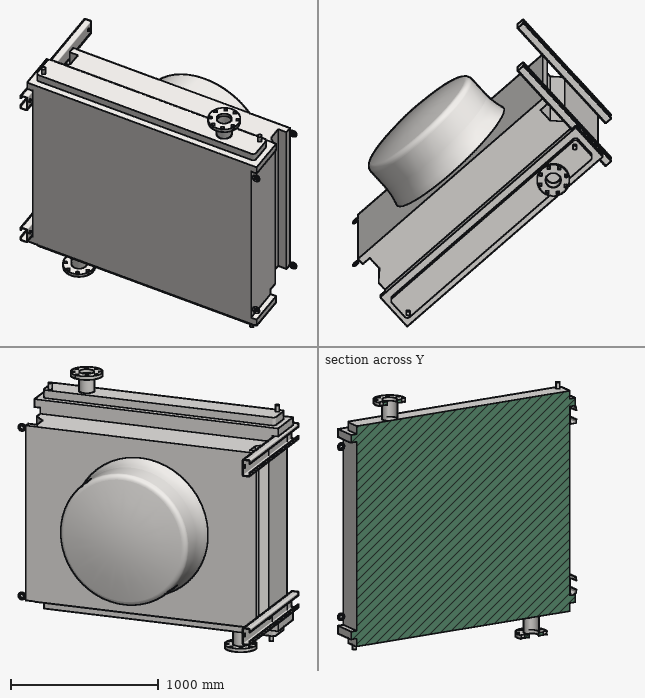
import cadquery as cq
import math


CORE_WIDTH = 1693.0
FRAME_DEPTH = 275.0
SHROUD_HEIGHT = 1245.0
SHROUD_SIDE_Y = 201.0
SHROUD_NECK_Y = 269.0
SHROUD_NECK_WIDTH = 1552.0
REAR_PLATE_WIDTH = 1680.0
REAR_PLATE_FRONT_Y = 370.0
REAR_PLATE_BACK_Y = 419.0

TUBE_PLATE_WIDTH = 1779.0
TUBE_PLATE_THICKNESS = 57.0
TUBE_PLATE_END_Z = 721.0
TANK_DEPTH = 178.0
TANK_END_Z = 778.0
TANK_CORNER_RADIUS = 22.0

OVERALL_HEIGHT = 1830.0
NOZZLE_X = 562.0
PIPE_DIAMETER = 108.0
BORE_DIAMETER = 102.0
FLANGE_DIAMETER = 220.0
FLANGE_THICKNESS = 25.0
BOLT_CIRCLE_DIAMETER = 187.0
BOLT_HOLE_DIAMETER = 22.0
BOLT_COUNT = 8

STUB_DIAMETER = 27.0
STUB_X = 807.0
STUB_Y = 55.0
STUB_END_Z = 822.0

FAN_RADIUS = 465.0
FAN_BASE_RADIUS = 490.0
FAN_FLARE_END_Y = 570.0
FAN_RIM_Y = 714.0
FAN_TIP_Y = 805.0
FAN_SHOULDER_RADIUS = 42.0

RAIL_Z = 599.3
RAIL_HEIGHT = 119.0
RAIL_OUTER_X = 900.0
RAIL_THICKNESS = 5.0
RAIL_BEND_RADIUS = 10.0
RAIL_LIP = 27.0
RAIL_FRONT_Y = -210.0
RAIL_LENGTH = 893.0
RAIL_HOLE_DIAMETER = 22.0
RAIL_HOLE_YS = (-168.0, 653.0)

RING_OUTER_RADIUS = 25.0
RING_BAR_DIAMETER = 13.0
RING_CENTRE_X = 875.0
RING_YS = (-117.0, 400.0)

ENDS = (1, -1)


def box_between(width, y_front, y_back, z_low, z_high):
    """Box centred on X = 0."""
    return (
        cq.Workplane("XY", origin=(0, (y_front + y_back) / 2, z_low))
        .rect(width, y_back - y_front)
        .extrude(z_high - z_low)
    )


def make_core():
    core = box_between(CORE_WIDTH, -FRAME_DEPTH / 2, FRAME_DEPTH / 2, -TUBE_PLATE_END_Z, TUBE_PLATE_END_Z)
    for end in ENDS:
        inner, outer = sorted((end * (TUBE_PLATE_END_Z - TUBE_PLATE_THICKNESS), end * TUBE_PLATE_END_Z))
        core = core.union(box_between(TUBE_PLATE_WIDTH, -FRAME_DEPTH / 2, FRAME_DEPTH / 2, inner, outer))
    return core


def make_shroud():
    half_outline = [
        (0, FRAME_DEPTH / 2),
        (CORE_WIDTH / 2, FRAME_DEPTH / 2),
        (CORE_WIDTH / 2, SHROUD_SIDE_Y),
        (SHROUD_NECK_WIDTH / 2, SHROUD_NECK_Y),
        (SHROUD_NECK_WIDTH / 2, REAR_PLATE_FRONT_Y),
        (REAR_PLATE_WIDTH / 2, REAR_PLATE_FRONT_Y),
        (REAR_PLATE_WIDTH / 2, REAR_PLATE_BACK_Y),
        (0, REAR_PLATE_BACK_Y),
    ]
    return (
        cq.Workplane("XY", origin=(0, 0, -SHROUD_HEIGHT / 2))
        .polyline(half_outline)
        .mirrorY()
        .extrude(SHROUD_HEIGHT)
    )


def make_fan_casing():
    shoulder_x = FAN_RADIUS - FAN_SHOULDER_RADIUS
    rise = FAN_TIP_Y - FAN_RIM_Y
    dome_radius = (shoulder_x**2 + rise**2 - FAN_SHOULDER_RADIUS**2) / (2 * (rise - FAN_SHOULDER_RADIUS))
    dome_centre_y = FAN_TIP_Y - dome_radius
    join_angle = math.atan2(FAN_RIM_Y - dome_centre_y, shoulder_x)
    join = (dome_radius * math.cos(join_angle), dome_centre_y + dome_radius * math.sin(join_angle))
    flare_length = FAN_FLARE_END_Y - REAR_PLATE_BACK_Y
    flare_spread = FAN_BASE_RADIUS - FAN_RADIUS
    flare_radius = (flare_length**2 + flare_spread**2) / (2 * flare_spread)
    return (
        cq.Workplane("XY")
        .moveTo(FAN_RADIUS, FAN_FLARE_END_Y)
        .lineTo(FAN_RADIUS, FAN_RIM_Y)
        .tangentArcPoint(join, relative=False)
        .tangentArcPoint((0, FAN_TIP_Y), relative=False)
        .lineTo(0, REAR_PLATE_BACK_Y)
        .lineTo(FAN_BASE_RADIUS, REAR_PLATE_BACK_Y)
        .radiusArc((FAN_RADIUS, FAN_FLARE_END_Y), flare_radius)
        .close()
        .revolve(360, (0, 0, 0), (0, 1, 0))
    )


def make_top_tank():
    """Header tank with its nozzle and stubs, as it stands on the top tube plate."""
    tank = (
        box_between(CORE_WIDTH, -TANK_DEPTH / 2, TANK_DEPTH / 2, TUBE_PLATE_END_Z, TANK_END_Z)
        .edges("|Z")
        .fillet(TANK_CORNER_RADIUS)
    )
    stubs = (
        cq.Workplane("XY", origin=(0, 0, TANK_END_Z))
        .pushPoints([(STUB_X, STUB_Y), (-STUB_X, -STUB_Y)])
        .circle(STUB_DIAMETER / 2)
        .extrude(STUB_END_Z - TANK_END_Z)
    )
    return tank.union(stubs).union(make_nozzle())


def make_nozzle():
    end_z = OVERALL_HEIGHT / 2
    pipe = (
        cq.Workplane("XY", origin=(NOZZLE_X, 0, TANK_END_Z))
        .circle(PIPE_DIAMETER / 2)
        .extrude(end_z - TANK_END_Z)
    )
    flange = (
        cq.Workplane("XY", origin=(NOZZLE_X, 0, end_z - FLANGE_THICKNESS))
        .circle(FLANGE_DIAMETER / 2)
        .extrude(FLANGE_THICKNESS)
        .faces(">Z")
        .workplane()
        .polarArray(BOLT_CIRCLE_DIAMETER / 2, 180 / BOLT_COUNT, 360, BOLT_COUNT)
        .hole(BOLT_HOLE_DIAMETER)
    )
    bore = (
        cq.Workplane("XY", origin=(NOZZLE_X, 0, TANK_END_Z))
        .circle(BORE_DIAMETER / 2)
        .extrude(end_z - TANK_END_Z)
    )
    return pipe.union(flange).cut(bore)


def make_cooler():
    """Core, shroud, fan casing and both tanks as one welded body."""
    top_tank = make_top_tank()
    bottom_tank = top_tank.rotate((0, 0, 0), (0, 1, 0), 180)
    return make_core().union(make_shroud()).union(make_fan_casing()).union(top_tank).union(bottom_tank)


def make_rail(z):
    depth = RAIL_OUTER_X - CORE_WIDTH / 2
    outside = (
        cq.Workplane("XZ", origin=(-RAIL_OUTER_X + depth / 2, RAIL_FRONT_Y, z))
        .rect(depth, RAIL_HEIGHT)
        .extrude(-RAIL_LENGTH)
        .edges("|Y")
        .fillet(RAIL_BEND_RADIUS)
    )
    inside = (
        cq.Workplane("XZ", origin=(-RAIL_OUTER_X + depth / 2, RAIL_FRONT_Y, z))
        .rect(depth - 2 * RAIL_THICKNESS, RAIL_HEIGHT - 2 * RAIL_THICKNESS)
        .extrude(-RAIL_LENGTH)
        .edges("|Y")
        .fillet(RAIL_BEND_RADIUS - RAIL_THICKNESS)
    )
    mouth = (
        cq.Workplane("XZ", origin=(-RAIL_OUTER_X, RAIL_FRONT_Y, z))
        .rect(depth, RAIL_HEIGHT - 2 * RAIL_LIP)
        .extrude(-RAIL_LENGTH)
    )
    holes = (
        cq.Workplane("YZ", origin=(-RAIL_OUTER_X, 0, z))
        .pushPoints([(y, 0) for y in RAIL_HOLE_YS])
        .circle(RAIL_HOLE_DIAMETER / 2)
        .extrude(depth)
    )
    return outside.cut(inside).cut(mouth).cut(holes)


def make_ring(y, z):
    centre = cq.Vector(RING_CENTRE_X, y, z)
    bar_radius = RING_BAR_DIAMETER / 2
    return cq.Solid.makeTorus(RING_OUTER_RADIUS - bar_radius, bar_radius, centre, cq.Vector(0, 1, 0))


cooler = make_cooler()
rails = [make_rail(end * RAIL_Z) for end in ENDS]
rings = [make_ring(y, end * RAIL_Z) for end in ENDS for y in RING_YS]

result = cq.Compound.makeCompound([cooler.val(), *[rail.val() for rail in rails], *rings])